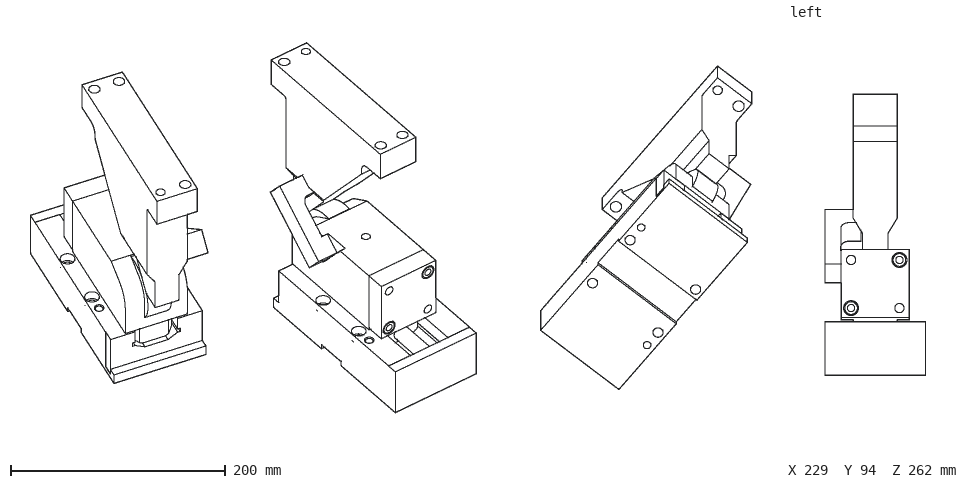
import cadquery as cq
import math

base_width = 94.0
base_length = 181.8
base_height = 50.0
foot_length = 190.0
foot_height = 11.3
key_start, key_end = 85.0, 115.3
key_depth = 5.0
end_wall = 10.5
end_wall_drop = 0.3
trough_half = 21.7
trough_floor_half = 11.8
trough_wall_depth = 17.8
trough_slope_angle = 30.0
undercut_height = 4.0
undercut_reach = 2.5
side_relief_start = 170.8
side_relief_depth = 0.3
bolt_row = 39.3
bolt_near, bolt_far = 67.3, 123.0
dowel_offset = 16.2
bolt_diameter = 9.5
bolt_head_diameter = 13.5
bolt_head_depth = 9.0
dowel_diameter = 7.0
dowel_chamfer = 0.92

housing_start = 61.8
housing_end = 181.5
housing_width = 63.5
housing_bottom = 51.5
housing_top = 117.5
nose_radius = 26.2
nose_z = 84.5
nose_angle = 28.0
keel_start, keel_end = 56.0, 176.3
keel_half = 20.7
keel_chamfer = 5.8
rod_radius = 7.5
rod_y = -1.0
rod_z = 36.0
rod_start = 11.3
oil_hole_x = 109.0
oil_hole_diameter = 8.5
oil_hole_depth = 15.7

cover_start = 42.5
cover_bottom = 53.7
cover_hole_spacing_y = 45.0
cover_hole_low, cover_hole_high = 62.5, 107.5
screw_ring_diameter = 14.0
screw_ring_width = 1.0
screw_socket_diameter = 6.8
screw_depth = 9.0
tapped_diameter = 8.6
tapped_depth = 10.5

hub_x = 157.5
hub_radius = 32.0
hub_width = 24.0

arm_start, arm_end = 58.7, 229.0
arm_top = 262.0
flange_thickness = 29.9
arm_width = 41.5
arm_foot_width = 24.0
web_left, web_right = 88.0, 206.0
slope_top = 218.0
arm_bottom = 99.3
arm_tip_x = 185.8
taper_top, taper_bottom = 146.5, 132.3
left_fillet, right_fillet = 9.0, 3.1
arm_hole_x = (69.0, 219.3)
arm_hole_y = 12.5
arm_hole_diameter = 10.5
arm_small_hole_diameter = 8.6

lever_angle = 40.0
lever_corner = (119.5, 103.5)
lever_length = 79.5
lever_thickness = 22.8
lever_outer_y = base_width / 2
lever_leg_y = 32.0
lever_hook_y = 25.7
lever_flange_y = 13.0
hook_length = 19.6
lever_flange_length = 19.0
lever_fillet = 7.9
pocket_clearance = 0.8

nose_x = housing_end - nose_radius
hub_z = housing_top - hub_radius


def box(x0, x1, y0, y1, z0, z1):
    return cq.Workplane("XY").box(x1 - x0, y1 - y0, z1 - z0, centered=False).translate((x0, y0, z0))


def side_prism(outline, width):
    """Extrude a closed XZ outline to the given width, centred on Y = 0."""
    return outline.close().extrude(width / 2, both=True)


def vertical_hole(x, y, top, depth, diameter):
    return cq.Workplane("XY", origin=(x, y, top - depth)).circle(diameter / 2).extrude(depth)


def hole_along_x(start, y, z, depth, diameter):
    return cq.Workplane("YZ", origin=(start, y, z)).circle(diameter / 2).extrude(depth)


def trough_prism(start, end, half, top):
    """A prism along X with vertical walls that ends on the trough's sloped bottom and flat floor."""
    slope = math.tan(math.radians(trough_slope_angle))
    floor = base_height - trough_wall_depth - (trough_half - trough_floor_half) * slope
    wall_foot = floor + (half - trough_floor_half) * slope
    return (
        cq.Workplane("YZ", origin=(start, 0, 0))
        .moveTo(-half, top)
        .lineTo(-half, wall_foot)
        .lineTo(-trough_floor_half, floor)
        .lineTo(trough_floor_half, floor)
        .lineTo(half, wall_foot)
        .lineTo(half, top)
        .close()
        .extrude(end - start)
    )


def make_base():
    """Rail with a foot at +X, a key slot underneath, an undercut trough and bolt and dowel holes."""
    half = base_width / 2
    body = box(0, base_length, -half, half, 0, base_height)
    body = body.union(box(0, foot_length, -half, half, 0, foot_height))
    body = body.cut(box(key_start, key_end, -half, half, 0, key_depth))
    body = body.cut(trough_prism(end_wall, base_length, trough_half, base_height))
    undercut_half = trough_half + undercut_reach
    undercut_floor = base_height - trough_wall_depth
    undercut_top = undercut_floor + undercut_height
    body = body.cut(
        box(end_wall, base_length, -undercut_half, undercut_half, undercut_floor, undercut_top)
    )
    body = body.cut(box(0, end_wall, -half, half, base_height - end_wall_drop, base_height))
    body = body.cut(
        box(side_relief_start, base_length, -half, side_relief_depth - half, key_depth, base_height)
    )
    for y in (-bolt_row, bolt_row):
        for x in (bolt_near, bolt_far):
            body = body.cut(vertical_hole(x, y, base_height, base_height, bolt_diameter))
            body = body.cut(vertical_hole(x, y, base_height, bolt_head_depth, bolt_head_diameter))
    for x, y in ((bolt_near - dowel_offset, bolt_row), (bolt_far + dowel_offset, -bolt_row)):
        body = body.cut(vertical_hole(x, y, base_height, base_height, dowel_diameter))
        chamfer = cq.Solid.makeCone(
            dowel_diameter / 2,
            dowel_diameter / 2 + dowel_chamfer,
            dowel_chamfer,
            pnt=cq.Vector(x, y, base_height - dowel_chamfer),
        )
        body = body.cut(cq.Workplane(chamfer))
    return body


def tilt(block):
    """Stand a block, laid out with its upper edge along X from the origin, on the lever's axis."""
    block = block.rotate((0, 0, 0), (0, 1, 0), -lever_angle)
    return block.translate((lever_corner[0], 0, lever_corner[1]))


def make_lever():
    """C-shaped link: a leg beside the housing, a hook at its lower end and a flange at its top."""
    flange_start = lever_length - lever_flange_length
    body = box(0, lever_length, lever_leg_y, lever_outer_y, -lever_thickness, 0)
    body = body.union(box(0, hook_length, lever_hook_y, lever_outer_y, -lever_thickness, 0))
    body = body.union(
        box(flange_start, lever_length, lever_flange_y, lever_outer_y, -lever_thickness, 0)
    )
    inner_corner = (flange_start, lever_leg_y, -lever_thickness / 2)
    body = body.edges(cq.NearestToPointSelector(inner_corner)).fillet(lever_fillet)
    return tilt(body)


def make_hub():
    """Full round of the hub, before the arm is seated in it."""
    return (
        cq.Workplane("XZ", origin=(hub_x, 0, hub_z))
        .circle(hub_radius)
        .extrude(hub_width / 2, both=True)
    )


def make_arm():
    """Top flange on a sloped web that narrows to a thin foot."""
    flange_bottom = arm_top - flange_thickness
    bend = math.sqrt(0.5)
    outline = (
        cq.Workplane("XZ")
        .moveTo(arm_start, arm_top)
        .lineTo(arm_start, flange_bottom)
        .lineTo(web_left - left_fillet, flange_bottom)
        .threePointArc(
            (web_left - left_fillet * (1 - bend), flange_bottom - left_fillet * (1 - bend)),
            (web_left, flange_bottom - left_fillet),
        )
        .lineTo(web_left, slope_top)
        .lineTo(arm_tip_x, arm_bottom)
        .lineTo(web_right, arm_bottom)
        .lineTo(web_right, flange_bottom - right_fillet)
        .threePointArc(
            (web_right + right_fillet * (1 - bend), flange_bottom - right_fillet * (1 - bend)),
            (web_right + right_fillet, flange_bottom),
        )
        .lineTo(arm_end, flange_bottom)
        .lineTo(arm_end, arm_top)
    )
    body = side_prism(outline, arm_width)
    section = (
        cq.Workplane("YZ")
        .moveTo(-arm_foot_width / 2, arm_bottom)
        .lineTo(-arm_foot_width / 2, taper_bottom)
        .lineTo(-arm_width / 2, taper_top)
        .lineTo(-arm_width / 2, arm_top)
        .lineTo(arm_width / 2, arm_top)
        .lineTo(arm_width / 2, taper_top)
        .lineTo(arm_foot_width / 2, taper_bottom)
        .lineTo(arm_foot_width / 2, arm_bottom)
        .close()
        .extrude(arm_end)
    )
    body = body.intersect(section)
    for x in arm_hole_x:
        for y in (-arm_hole_y, arm_hole_y):
            is_small = x == arm_hole_x[1] and y < 0
            diameter = arm_small_hole_diameter if is_small else arm_hole_diameter
            body = body.cut(vertical_hole(x, y, arm_top, flange_thickness, diameter))
    return body


def make_carriage():
    """Housing with a sloped, rounded nose, and the keel and rod that run in the trough."""
    angle = math.radians(nose_angle)
    tangent_x = nose_x + nose_radius * math.sin(angle)
    tangent_z = nose_z + nose_radius * math.cos(angle)
    slope_start = tangent_x - (housing_top - tangent_z) / math.tan(angle)
    middle = math.radians((90 - nose_angle) / 2)
    outline = (
        cq.Workplane("XZ")
        .moveTo(housing_start, housing_bottom)
        .lineTo(housing_start, housing_top)
        .lineTo(slope_start, housing_top)
        .lineTo(tangent_x, tangent_z)
        .threePointArc(
            (nose_x + nose_radius * math.cos(middle), nose_z + nose_radius * math.sin(middle)),
            (housing_end, nose_z),
        )
        .lineTo(housing_end, housing_bottom)
    )
    body = side_prism(outline, housing_width)
    keel = trough_prism(keel_start, keel_end, keel_half, housing_bottom)
    keel = keel.edges("|Z and >X").chamfer(keel_chamfer)
    keel = keel.cut(box(keel_start, housing_start, -keel_half, keel_half, base_height, housing_bottom))
    body = body.union(keel)
    rod = hole_along_x(rod_start, rod_y, rod_z, keel_end - rod_start, 2 * rod_radius)
    body = body.union(rod)
    body = body.cut(vertical_hole(oil_hole_x, 0, housing_top, oil_hole_depth, oil_hole_diameter))
    pocket = box(
        -pocket_clearance, hook_length, lever_hook_y, housing_width, -lever_thickness, lever_thickness
    )
    return body.cut(tilt(pocket))


def make_cover():
    """End plate with two socket-head recesses and two cone-bottomed holes on opposite corners."""
    half = housing_width / 2
    body = box(cover_start, housing_start, -half, half, cover_bottom, housing_top)
    hole_y = cover_hole_spacing_y / 2
    for y, z in ((hole_y, cover_hole_low), (-hole_y, cover_hole_high)):
        ring = hole_along_x(cover_start, y, z, screw_depth, screw_ring_diameter)
        head = hole_along_x(cover_start, y, z, screw_depth, screw_ring_diameter - 2 * screw_ring_width)
        socket = hole_along_x(cover_start, y, z, screw_depth, screw_socket_diameter)
        body = body.cut(ring.cut(head)).cut(socket)
    for y, z in ((hole_y, cover_hole_high), (-hole_y, cover_hole_low)):
        body = body.cut(hole_along_x(cover_start, y, z, tapped_depth, tapped_diameter))
        cone = cq.Solid.makeCone(
            tapped_diameter / 2, 0, tapped_diameter / 2,
            pnt=cq.Vector(cover_start + tapped_depth, y, z), dir=cq.Vector(1, 0, 0),
        )
        body = body.cut(cq.Workplane(cone))
    return body


lever = make_lever()
arm = make_arm().cut(lever)
hub = make_hub().cut(arm)
base = make_base()
carriage = make_carriage().cut(make_hub())
cover = make_cover()

bodies = (base, carriage, cover, hub, arm, lever)
result = cq.Compound.makeCompound([body.solids().val() for body in bodies])